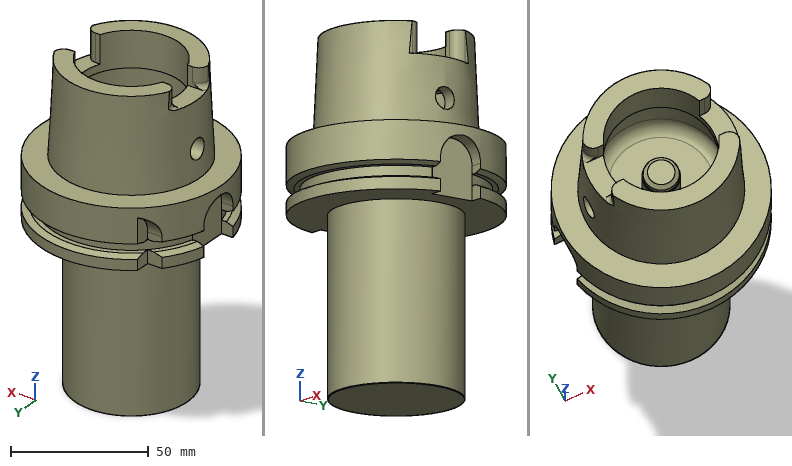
import cadquery as cq
import math

total_height = 134.9
flange_bottom = 69.0
flange_top = 94.8
groove_bottom = 74.6
groove_top = 78.9
groove_chamfer_height = 1.1
groove_chamfer_width = 2.8

body_radius = 50.0 / 2
body_chamfer = 0.3
flange_radius = 80.0 / 2
groove_radius = 35.1
taper_base_radius = 30.4
taper_top_radius = 28.5

bore_radius = 42.1 / 2
chamber_radius = 24.3
chamber_top = 119.3
chamber_floor_fillet = 5.0
chamber_floor = 98.2

boss_radius = 14.0 / 2
boss_neck_radius = 6.6
boss_tip_radius = 5.0
boss_shoulder = 105.2
boss_chamfer_start = 107.2
boss_top = 108.6

cross_hole_diameter = 8.5
cross_hole_height = 107.0

slot_half_width = 7.8
slot_corner_radius = 4.0
slot_land_x = 25.8
left_slot_floor = 126.5
right_slot_floor = 122.6
left_floor_fillet = 2.0

keyway_radius = 9.0
keyway_centre_height = 82.0
keyway_floor_x = 33.9
notch_floor_x = 25.1
notch_centre_y = 33.7


def make_outer_body():
    profile = [
        (0, 0),
        (body_radius - body_chamfer, 0),
        (body_radius, body_chamfer),
        (body_radius, flange_bottom),
        (flange_radius, flange_bottom),
        (flange_radius, groove_bottom - groove_chamfer_height),
        (flange_radius - groove_chamfer_width, groove_bottom),
        (groove_radius, groove_bottom),
        (groove_radius, groove_top),
        (flange_radius - groove_chamfer_width, groove_top),
        (flange_radius, groove_top + groove_chamfer_height),
        (flange_radius, flange_top),
        (taper_base_radius, flange_top),
        (taper_top_radius, total_height),
        (0, total_height),
    ]
    return cq.Workplane("XZ").polyline(profile).close().revolve(360, (0, 0), (0, 1))


def make_bore():
    """Bore and chamber space surrounding the central boss."""
    fillet_sag = chamber_floor_fillet * (1 - math.sqrt(0.5))
    return (
        cq.Workplane("XZ")
        .moveTo(boss_radius, chamber_floor)
        .lineTo(chamber_radius - chamber_floor_fillet, chamber_floor)
        .threePointArc(
            (chamber_radius - fillet_sag, chamber_floor + fillet_sag),
            (chamber_radius, chamber_floor + chamber_floor_fillet),
        )
        .lineTo(chamber_radius, chamber_top)
        .lineTo(bore_radius, chamber_top)
        .lineTo(bore_radius, total_height)
        .lineTo(0, total_height)
        .lineTo(0, boss_top)
        .lineTo(boss_tip_radius, boss_top)
        .lineTo(boss_neck_radius, boss_chamfer_start)
        .lineTo(boss_neck_radius, boss_shoulder)
        .lineTo(boss_radius, boss_shoulder)
        .close()
        .revolve(360, (0, 0), (0, 1))
    )


def make_drive_slot(floor_height):
    """Slot on the +X side whose mouth flares round both land corners."""
    tangent_x = slot_land_x - slot_corner_radius
    corner_y = slot_half_width + slot_corner_radius
    diagonal = slot_corner_radius * math.sqrt(0.5)
    return (
        cq.Workplane("XY", origin=(0, 0, floor_height))
        .moveTo(0, -slot_half_width)
        .lineTo(tangent_x, -slot_half_width)
        .threePointArc((tangent_x + diagonal, -corner_y + diagonal), (slot_land_x, -corner_y))
        .lineTo(slot_land_x, -flange_radius)
        .lineTo(flange_radius, -flange_radius)
        .lineTo(flange_radius, flange_radius)
        .lineTo(slot_land_x, flange_radius)
        .lineTo(slot_land_x, corner_y)
        .threePointArc((tangent_x + diagonal, corner_y - diagonal), (tangent_x, slot_half_width))
        .lineTo(0, slot_half_width)
        .close()
        .extrude(total_height - floor_height)
    )


def make_left_drive_slot():
    """Slot on the -X side with a filleted floor round the flared corners."""
    slot = make_drive_slot(left_slot_floor).rotate((0, 0, 0), (0, 0, 1), 180)
    outer = slot_corner_radius + left_floor_fillet
    fillet_sag = left_floor_fillet * (1 - math.sqrt(0.5))
    corner_x = slot_corner_radius - slot_land_x
    for side in (-1, 1):
        corner_y = side * (slot_half_width + slot_corner_radius)
        fillet = (
            cq.Workplane("XZ", origin=(corner_x, corner_y, left_slot_floor))
            .moveTo(slot_corner_radius, 0)
            .lineTo(outer, 0)
            .threePointArc(
                (slot_corner_radius + fillet_sag, fillet_sag),
                (slot_corner_radius, left_floor_fillet),
            )
            .close()
            .revolve(360, (0, 0), (0, 1))
        )
        slot = slot.cut(fillet)
    straight_slot = (
        cq.Workplane("XY", origin=(-flange_radius / 2, 0, left_slot_floor))
        .rect(flange_radius, 2 * slot_half_width)
        .extrude(total_height - left_slot_floor)
    )
    return slot.union(straight_slot)


def make_keyway(centre_y, floor_x):
    """Round-topped slot on the -X side, open through the flange bottom."""
    depth = flange_radius - floor_x
    return (
        cq.Workplane("YZ", origin=(-flange_radius, 0, 0))
        .moveTo(centre_y - keyway_radius, flange_bottom)
        .lineTo(centre_y - keyway_radius, keyway_centre_height)
        .threePointArc(
            (centre_y, keyway_centre_height + keyway_radius),
            (centre_y + keyway_radius, keyway_centre_height),
        )
        .lineTo(centre_y + keyway_radius, flange_bottom)
        .close()
        .extrude(depth)
    )


left_keyway = make_keyway(0, keyway_floor_x)
right_keyway = left_keyway.mirror("YZ")
orientation_notch = make_keyway(notch_centre_y, notch_floor_x)

cross_hole = (
    cq.Workplane("YZ", origin=(-flange_radius, 0, cross_hole_height))
    .circle(cross_hole_diameter / 2)
    .extrude(2 * flange_radius)
)
bore_keep_out = cq.Workplane("XY").circle(bore_radius).extrude(total_height)

result = (
    make_outer_body()
    .cut(make_bore())
    .cut(make_drive_slot(right_slot_floor))
    .cut(make_left_drive_slot())
    .cut(cross_hole.cut(bore_keep_out))
    .cut(left_keyway)
    .cut(right_keyway)
    .cut(orientation_notch)
)